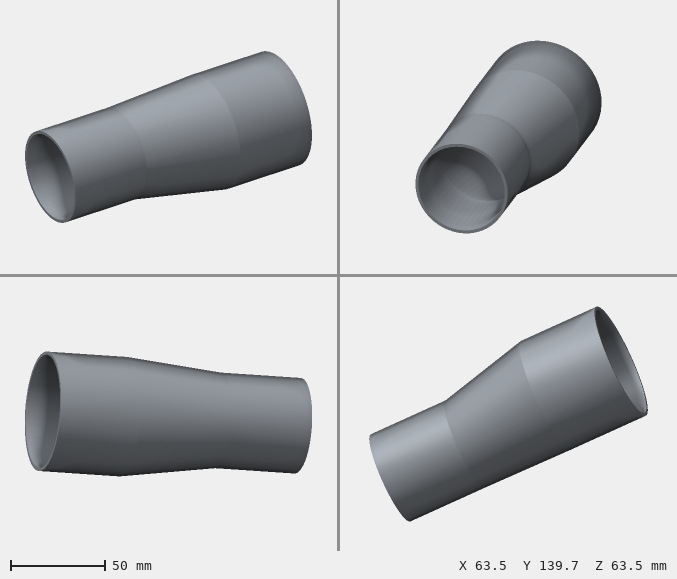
import cadquery as cq

LARGE_DIAMETER = 63.5
SMALL_DIAMETER = 50.8
WALL = 1.65
STRAIGHT_LENGTH = 44.45
TAPER_LENGTH = 50.8

TAPER_START = STRAIGHT_LENGTH
TAPER_END = TAPER_START + TAPER_LENGTH

LARGE_AXIS_X = 0.0
SMALL_AXIS_X = LARGE_AXIS_X - (LARGE_DIAMETER - SMALL_DIAMETER) / 2


def cylinder_along_y(diameter, axis_x, start_y, length):
    """Straight cylinder parallel to Y."""
    start = cq.Vector(axis_x, start_y, 0)
    return cq.Workplane(cq.Solid.makeCylinder(diameter / 2, length, start, cq.Vector(0, 1, 0)))


def taper(small_diameter, large_diameter):
    """Oblique cone joining the small circle to the large one."""
    along_y = cq.Vector(0, 1, 0)
    small_circle = cq.Wire.makeCircle(small_diameter / 2, cq.Vector(SMALL_AXIS_X, TAPER_START, 0), along_y)
    large_circle = cq.Wire.makeCircle(large_diameter / 2, cq.Vector(LARGE_AXIS_X, TAPER_END, 0), along_y)
    return cq.Workplane(cq.Solid.makeLoft([small_circle, large_circle], True))


def reducer_volume(inset):
    """Solid reducer shape with its outer surface moved inward by the inset."""
    small_diameter = SMALL_DIAMETER - 2 * inset
    large_diameter = LARGE_DIAMETER - 2 * inset
    small_tube = cylinder_along_y(small_diameter, SMALL_AXIS_X, 0, STRAIGHT_LENGTH)
    large_tube = cylinder_along_y(large_diameter, LARGE_AXIS_X, TAPER_END, STRAIGHT_LENGTH)
    return small_tube.union(taper(small_diameter, large_diameter)).union(large_tube)


result = reducer_volume(0).cut(reducer_volume(WALL))